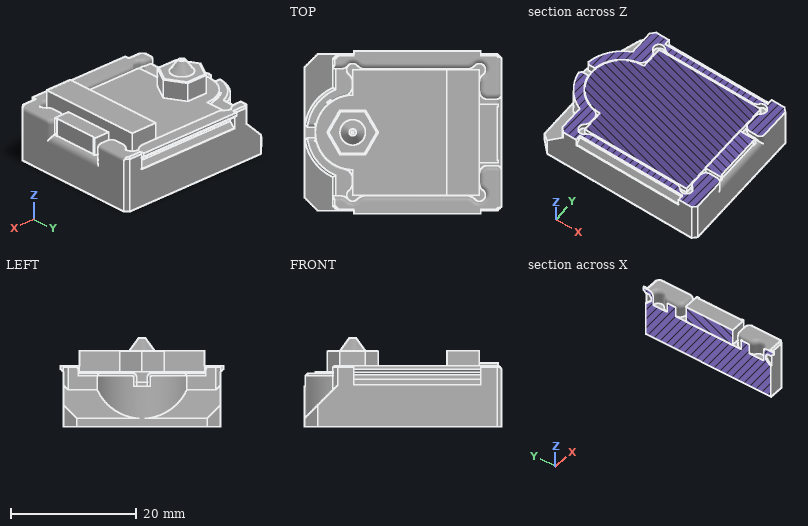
import cadquery as cq
import math


LENGTH = 31.5
HALF_WIDTH = 12.53
TOP_Z = 9.8
FOOT_X = 0.015
FOOT_Z = 1.35
WALL_X = 4.57
FOOT_CHAMFER = 2.15
WALL_CHAMFER = 0.75
CORNER_CHAMFER = 0.7
TOP_CHAMFER = 0.3
END_ROUND = 0.82

NOZZLE_X = 7.7
NOSE_RADIUS = 7.87
RIM_Z = 8.55
RIM_CHAMFER = 0.45
NOTCH_HALF_WIDTH = 0.85
NOTCH_Z = 6.52
NOTCH_ROUND = 0.63

BLOCK_LENGTH = 20.22
BLOCK_HALF_WIDTH = 10.0
BLOCK_RIGHT = NOZZLE_X + BLOCK_LENGTH
BLOCK_TOP_Z = 8.8
TONGUE_RADIUS = 5.95
BAR_LENGTH = 5.15
BAR_TOP_Z = 12.15

CLEARANCE = 0.03
FLOOR_Z = 7.1
CAVITY_LEFT = NOZZLE_X - CLEARANCE
CAVITY_RIGHT = BLOCK_RIGHT + CLEARANCE
CAVITY_HALF_WIDTH = 10.15
RELIEF_RADIUS = 0.98
SIDE_BLEND = 1.57
END_BLEND = 1.25
TOP_FILLET = 0.85
RIM_FILLET = 0.3

MOUTH_HALF_WIDTH = 5.3
MOUTH_ROUND = 1.48

LIP_START = 7.9
LIP_LENGTH = 20.28
LIP_OUT_Y = 13.02
LIP_EDGE_Z = 9.23
LIP_ROOT_Z = 8.75
GROOVE_CEILING_DEPTH = 0.35
GROOVE_CEILING_DROP = 0.45
GROOVE_BACK_Z = 7.62
GROOVE_FLOOR_Z = 6.7
GROOVE_LEDGE = 0.13
GROOVE_FLOOR_SLOPE = GROOVE_BACK_Z - GROOVE_FLOOR_Z
GROOVE_BACK_Y = HALF_WIDTH - GROOVE_LEDGE - GROOVE_FLOOR_SLOPE

TAB_RIGHT = 30.92
TAB_FRONT_Y = -4.88
TAB_BACK_Y = 4.5
TAB_TOP_Z = 10.2
TAB_EAR_WIDTH = 0.45
TAB_RECESS = 0.13

HEX_TOP_Z = BAR_TOP_Z
HEX_ACROSS_FLATS = 7.1
HEX_CHAMFER = 0.22
HEX_CHAMFER_DROP = 0.11
HEX_TURN = 30.0
CONE_DIAMETER = 4.05
TIP_DIAMETER = 1.1
TIP_Z = 14.2
BORE_DIAMETER = 0.4

MARGIN = 3.15


def box(x, y, z):
    """Box given by its (low, high) limits along each axis."""
    size = [limits[1] - limits[0] for limits in (x, y, z)]
    return cq.Workplane("XY").box(*size, centered=False).translate((x[0], y[0], z[0]))


def region(x, y, z):
    """Selector of the edges centred within the (low, high) limits along each axis."""
    return cq.selectors.BoxSelector((x[0], y[0], z[0]), (x[1], y[1], z[1]))


def corner_reliefs(height):
    """Round reliefs around the four corners of the block."""
    points = [(x, y) for x in (NOZZLE_X, BLOCK_RIGHT) for y in (-BLOCK_HALF_WIDTH, BLOCK_HALF_WIDTH)]
    return cq.Workplane("XY").pushPoints(points).circle(RELIEF_RADIUS).extrude(height)


def cavity(left_end_open, low_z):
    """Void above low_z with the mouth at +X; the left end is the tongue recess or fully open."""
    height = TOP_Z - low_z
    half = CAVITY_HALF_WIDTH
    void = box((CAVITY_LEFT, CAVITY_RIGHT), (-half, half), (0, height))
    void = void.union(corner_reliefs(height))
    if left_end_open:
        void = void.union(box((-MARGIN, NOZZLE_X), (-half, half), (0, height)))
    else:
        tongue = cq.Workplane("XY").center(NOZZLE_X, 0).circle(TONGUE_RADIUS + CLEARANCE)
        void = void.union(tongue.extrude(height))
    mouth_y = (-MOUTH_HALF_WIDTH, MOUTH_HALF_WIDTH)
    void = void.union(box((NOZZLE_X, LENGTH + MARGIN), mouth_y, (0, height)))
    side_edges = region((0, BLOCK_RIGHT), (-HALF_WIDTH, HALF_WIDTH), (0, TOP_Z))
    end_edges = region(
        (BLOCK_RIGHT, CAVITY_RIGHT + CLEARANCE), (-BLOCK_HALF_WIDTH, BLOCK_HALF_WIDTH), (0, TOP_Z))
    void = void.edges("|Z").edges(side_edges).fillet(SIDE_BLEND)
    void = void.edges("|Z").edges(end_edges).fillet(END_BLEND)
    return void.translate((0, 0, low_z))


def edges_at(z, x_limits):
    """Selector of the edges that lie at height z between two X limits."""
    return region(x_limits, (-HALF_WIDTH, HALF_WIDTH), (z - CLEARANCE, z + CLEARANCE))


def tall_walls():
    """Oversize surround of the open cavity, with the edges of the walls rounded."""
    side = HALF_WIDTH + MARGIN
    walls = box((-MARGIN, LENGTH), (-side, side), (0, TOP_Z))
    walls = walls.edges(">X and >Z").fillet(END_ROUND).cut(cavity(True, 0))
    inner_edges = edges_at(TOP_Z, (-MARGIN / 2, LENGTH - END_ROUND - CLEARANCE))
    return walls.edges(inner_edges).fillet(TOP_FILLET)


def low_rim():
    """Oversize left wall up to the rim, around the tongue, with its inner edge rounded."""
    rim = box((-MARGIN, NOZZLE_X), (-HALF_WIDTH, HALF_WIDTH), (0, RIM_Z)).cut(cavity(False, FLOOR_Z))
    inner_edges = edges_at(RIM_Z, (0, NOZZLE_X - CLEARANCE / 2))
    return rim.edges(inner_edges).fillet(RIM_FILLET)


def cavity_stock():
    """Oversize block holding the finished cavity; the mouth sill is rounded at the +X end."""
    base = box((-MARGIN, LENGTH), (-HALF_WIDTH, HALF_WIDTH), (0, FLOOR_Z))
    base = base.edges(">X and >Z").fillet(MOUTH_ROUND)
    return base.union(low_rim()).union(tall_walls())


def outer_body():
    """Foot with its sloped left end, and the tall walls with their chamfered top."""
    slope_end_x = WALL_X + WALL_CHAMFER
    slope_end_z = FOOT_Z + slope_end_x - FOOT_X
    profile = [
        (FOOT_X, 0),
        (FOOT_X, FOOT_Z),
        (slope_end_x, slope_end_z),
        (LENGTH, slope_end_z),
        (LENGTH, 0),
    ]
    foot = cq.Workplane("XZ").polyline(profile).close().extrude(HALF_WIDTH, both=True)
    foot = foot.edges("|Z and <X").chamfer(FOOT_CHAMFER)
    foot = foot.edges("|Z and >X").chamfer(CORNER_CHAMFER)

    walls = box((WALL_X, LENGTH), (-HALF_WIDTH, HALF_WIDTH), (FOOT_Z, TOP_Z))
    walls = walls.edges("|Z and <X").chamfer(WALL_CHAMFER)
    walls = walls.edges("|Z and >X").chamfer(CORNER_CHAMFER)
    walls = walls.faces(">Z").edges("not >X").chamfer(TOP_CHAMFER)
    low_front = box((0, NOZZLE_X), (-CAVITY_HALF_WIDTH, CAVITY_HALF_WIDTH), (RIM_Z, TOP_Z))
    return foot.union(walls).cut(low_front)


def nose():
    """Round nose that carries the low rim."""
    return cq.Workplane("XY").center(NOSE_RADIUS, 0).circle(NOSE_RADIUS).extrude(RIM_Z)


def notch():
    """Gap in the left end of the rim, flaring at the top, with its floor below the cavity floor."""
    half = NOTCH_HALF_WIDTH
    flare = half + NOTCH_ROUND
    diagonal = NOTCH_ROUND * (1 - math.sqrt(0.5))
    profile = (
        cq.Workplane("YZ")
        .moveTo(-half, NOTCH_Z)
        .lineTo(half, NOTCH_Z)
        .lineTo(half, RIM_Z - NOTCH_ROUND)
        .threePointArc((half + diagonal, RIM_Z - diagonal), (flare, RIM_Z))
        .lineTo(-flare, RIM_Z)
        .threePointArc((-half - diagonal, RIM_Z - diagonal), (-half, RIM_Z - NOTCH_ROUND))
        .close()
    )
    floor_end = NOZZLE_X - TONGUE_RADIUS - CLEARANCE
    cut_end = floor_end + RIM_FILLET
    cavity_step = box((floor_end, cut_end), (-NOTCH_HALF_WIDTH, NOTCH_HALF_WIDTH), (NOTCH_Z, FLOOR_Z))
    return profile.extrude(cut_end).cut(cavity_step)


def groove(side):
    """Recess under one lip, with a sloped ceiling and floor."""
    points = [
        (HALF_WIDTH, LIP_ROOT_Z),
        (GROOVE_BACK_Y + GROOVE_CEILING_DEPTH, LIP_ROOT_Z),
        (GROOVE_BACK_Y, LIP_ROOT_Z - GROOVE_CEILING_DROP),
        (GROOVE_BACK_Y, GROOVE_BACK_Z),
        (HALF_WIDTH - GROOVE_LEDGE, GROOVE_FLOOR_Z),
        (HALF_WIDTH, GROOVE_FLOOR_Z),
    ]
    return side_bar(points, side)


def lip(side):
    """Lip along the top of one side wall, rooted behind the top chamfer."""
    root_y = HALF_WIDTH - 2 * TOP_CHAMFER
    points = [
        (root_y, TOP_Z),
        (LIP_OUT_Y, TOP_Z),
        (LIP_OUT_Y, LIP_EDGE_Z),
        (HALF_WIDTH, LIP_ROOT_Z),
        (root_y, LIP_ROOT_Z),
    ]
    return side_bar(points, side)


def side_bar(points, side):
    """Bar along the side wall from a (Y, Z) profile; side is +1 or -1."""
    profile = [(side * y, z) for y, z in points]
    return cq.Workplane("YZ").polyline(profile).close().extrude(LIP_LENGTH).translate((LIP_START, 0, 0))


def chamfer_rim(body):
    """Chamfer the outer edge of the low rim and of the notch in it."""
    flare = NOTCH_HALF_WIDTH + NOTCH_ROUND
    front_x = (-CLEARANCE, WALL_X + CLEARANCE)
    rim_z = (RIM_Z - CLEARANCE, RIM_Z + CLEARANCE)
    near = flare + CLEARANCE
    far = CAVITY_HALF_WIDTH - CLEARANCE
    edges = region((-CLEARANCE, RIM_CHAMFER), (-flare, flare), (NOTCH_Z + CLEARANCE, RIM_Z))
    edges += region(front_x, (-far, -near), rim_z) + region(front_x, (near, far), rim_z)
    return body.edges(edges).chamfer(RIM_CHAMFER)


def make_housing():
    """Housing around the block, with side lips, side grooves and a mouth at +X."""
    shell = outer_body().union(lip(-1)).union(lip(1))
    shell = chamfer_rim(shell.union(nose()).cut(notch()))
    return shell.intersect(cavity_stock()).cut(groove(-1)).cut(groove(1))


def make_block():
    """Heater block with its rounded tongue and the raised bar at its +X end."""
    y_limits = (-BLOCK_HALF_WIDTH, BLOCK_HALF_WIDTH)
    block = box((NOZZLE_X, BLOCK_RIGHT), y_limits, (FLOOR_Z, BLOCK_TOP_Z))
    tongue = cq.Workplane("XY").center(NOZZLE_X, 0).circle(TONGUE_RADIUS)
    block = block.union(tongue.extrude(BLOCK_TOP_Z - FLOOR_Z).translate((0, 0, FLOOR_Z)))
    bar = box((BLOCK_RIGHT - BAR_LENGTH, BLOCK_RIGHT), y_limits, (BLOCK_TOP_Z, BAR_TOP_Z))
    return block.union(bar)


def make_nozzle():
    """Hexagonal nozzle standing on the block, bored through along its axis."""
    hex_height = HEX_TOP_Z - BLOCK_TOP_Z
    hexagon = cq.Workplane("XY").polygon(6, HEX_ACROSS_FLATS, circumscribed=True)
    nozzle = hexagon.extrude(hex_height - HEX_CHAMFER_DROP)
    chamfer_angle = math.degrees(math.atan2(HEX_CHAMFER, HEX_CHAMFER_DROP))
    nozzle = nozzle.faces(">Z").wires().toPending().extrude(HEX_CHAMFER_DROP, taper=chamfer_angle)
    cone = (
        cq.Workplane("XY", origin=(0, 0, hex_height))
        .circle(CONE_DIAMETER / 2)
        .workplane(offset=TIP_Z - HEX_TOP_Z)
        .circle(TIP_DIAMETER / 2)
        .loft()
    )
    bore = cq.Workplane("XY").circle(BORE_DIAMETER / 2).extrude(TIP_Z)
    nozzle = nozzle.union(cone).cut(bore)
    return nozzle.rotate((0, 0, 0), (0, 0, 1), HEX_TURN).translate((NOZZLE_X, 0, BLOCK_TOP_Z))


def make_tab():
    """Flat tab on the floor of the mouth, with two small ears at its outer corners."""
    z_limits = (FLOOR_Z, TAB_TOP_Z)
    tab = box((BLOCK_RIGHT, TAB_RIGHT), (TAB_FRONT_Y, TAB_BACK_Y), z_limits)
    recess_y = (TAB_FRONT_Y + TAB_EAR_WIDTH, TAB_BACK_Y - TAB_EAR_WIDTH)
    return tab.cut(box((TAB_RIGHT - TAB_RECESS, TAB_RIGHT), recess_y, z_limits))


housing = make_housing()
block = make_block()
nozzle = make_nozzle()
tab = make_tab()
result = cq.Compound.makeCompound([housing.val(), block.val(), nozzle.val(), tab.val()])